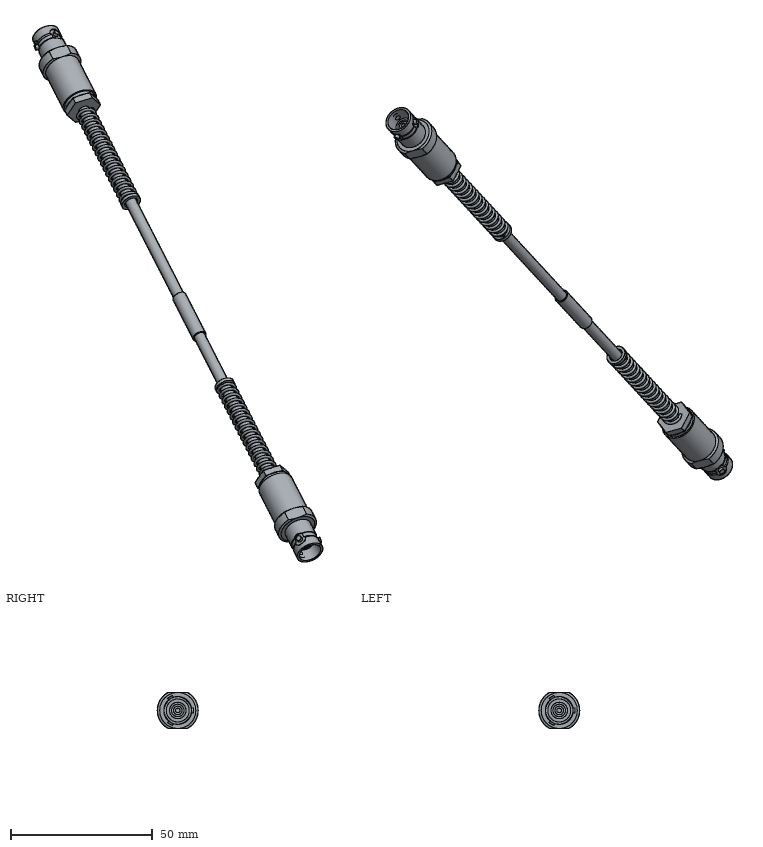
import cadquery as cq
import math


overall_length = 250.7
half_length = overall_length / 2

neck_diameter = 9.8
neck_end = 11.5
flange_diameter = 14.45
flange_flats = 12.7
flange_end = 16.0
flange_cone_angle = 22
barrel_diameter = 12.7
barrel_end = 32.6

groove_start = 3.4
groove_taper = 0.6
groove_end = 5.6
groove_depth = 0.25

lug_count = 3
lug_first_angle = 90
lug_position = 4.0
lug_diameter = 1.9
lug_tip_diameter = 11.1
spotface_diameter = 4.5
spotface_depth = 0.55

socket_diameter = 8.1
socket_depth = 9.0
contact_setback = 4.0
contact_tubes = [(5.8, 4.4), (3.0, 1.6)]

collar_diameter = 11.6
collar_length = 1.3
nut_flats = 11.0
nut_end = 36.4

cable_diameter = 4.0
cable_entry = 2.0
sleeve_diameter = 5.0
sleeve_start = 1.6
sleeve_length = 19.05

wire_diameter = 1.0
coil_diameter = 6.0
spring_end = 81.3
spring_pitch = 2.52
spring_start_angle = 90
end_ring_diameter = 7.1
end_ring_bore = 4.9
end_ring_length = 1.2


def rod(diameter, start, end):
    """Solid cylinder along the X axis."""
    return cq.Workplane("YZ", origin=(start, 0, 0)).circle(diameter / 2).extrude(end - start)


def lug_feature(diameter, height_start, height_end):
    """Upright cylinder over the lug position."""
    base = cq.Workplane("XY", origin=(lug_position, 0, height_start))
    return base.circle(diameter / 2).extrude(height_end - height_start)


def revolved(profile):
    """Solid turned around the X axis from a profile of (distance, radius) points."""
    return cq.Workplane("XY").polyline(profile).close().revolve(360, (0, 0, 0), (1, 0, 0))


def make_flange():
    rim_radius = flange_diameter / 2
    face_radius = flange_flats / 2
    setback = (rim_radius - face_radius) * math.tan(math.radians(flange_cone_angle))
    flange = revolved([
        (neck_end, 0),
        (neck_end, face_radius),
        (neck_end + setback, rim_radius),
        (flange_end - setback, rim_radius),
        (flange_end, face_radius),
        (flange_end, 0),
    ])
    flat_bar = cq.Workplane("XY").box(2 * flange_end, flange_diameter, flange_flats)
    return flange.intersect(flat_bar)


def make_neck():
    neck = rod(neck_diameter, 0, neck_end)
    neck_radius = neck_diameter / 2
    groove_radius = neck_radius - groove_depth
    neck = neck.cut(revolved([
        (groove_start, neck_radius),
        (groove_start + groove_taper, groove_radius),
        (groove_end, groove_radius),
        (groove_end, neck_radius),
    ]))

    seat_height = neck_radius - spotface_depth
    spotface = lug_feature(spotface_diameter, seat_height, lug_tip_diameter / 2)
    lug = lug_feature(lug_diameter, seat_height, lug_tip_diameter)
    lug = lug.intersect(rod(lug_tip_diameter, 0, neck_end))
    for index in range(lug_count):
        angle = lug_first_angle + index * 360 / lug_count
        neck = neck.cut(spotface.rotate((0, 0, 0), (1, 0, 0), angle))
        neck = neck.union(lug.rotate((0, 0, 0), (1, 0, 0), angle))
    return neck


def make_jack():
    jack = make_neck().union(make_flange()).union(rod(barrel_diameter, neck_end, barrel_end))
    jack = jack.cut(rod(socket_diameter, 0, socket_depth))
    for outer_diameter, bore_diameter in contact_tubes:
        tube = rod(outer_diameter, contact_setback, socket_depth)
        jack = jack.union(tube.cut(rod(bore_diameter, contact_setback, socket_depth)))
    return jack.cut(rod(cable_diameter, barrel_end - cable_entry, barrel_end))


def make_nut():
    collar_end = barrel_end + collar_length
    corner_distance = nut_flats / math.cos(math.pi / 6)
    hexagon = cq.Workplane("YZ", origin=(collar_end, 0, 0)).polygon(6, corner_distance)
    hexagon = hexagon.extrude(nut_end - collar_end)
    nut = rod(collar_diameter, barrel_end, collar_end).union(hexagon)
    return nut.cut(rod(cable_diameter, barrel_end, nut_end))


def make_spring():
    coil_radius = coil_diameter / 2
    ring_start = spring_end - end_ring_length
    coil_start = nut_end + wire_diameter / 2
    coil_length = ring_start + end_ring_length / 2 - coil_start
    path = cq.Wire.makeHelix(spring_pitch, coil_length, coil_radius, lefthand=True)
    wire = cq.Workplane("XZ", origin=(coil_radius, 0, 0)).circle(wire_diameter / 2)
    coil = wire.sweep(cq.Workplane(obj=path), isFrenet=True)
    coil = coil.rotate((0, 0, 0), (0, 1, 0), 90).rotate((0, 0, 0), (1, 0, 0), spring_start_angle)
    end_ring = rod(end_ring_diameter, ring_start, spring_end)
    end_ring = end_ring.cut(rod(end_ring_bore, ring_start, spring_end))
    return coil.translate((coil_start, 0, 0)).union(end_ring)


def both_ends(body):
    """Places a body at the -X end and a copy turned half a turn about Z at the +X end."""
    near = body.translate((-half_length, 0, 0))
    return [near, near.rotate((0, 0, 0), (0, 0, 1), 180)]


jacks = both_ends(make_jack())
nuts = both_ends(make_nut())
springs = both_ends(make_spring())

cable_half_length = half_length - barrel_end + cable_entry
cable = rod(cable_diameter, -cable_half_length, cable_half_length)
sleeve = rod(sleeve_diameter, sleeve_start, sleeve_start + sleeve_length).cut(cable)

bodies = [*jacks, *nuts, *springs, cable, sleeve]
result = cq.Compound.makeCompound([body.solids().val() for body in bodies])